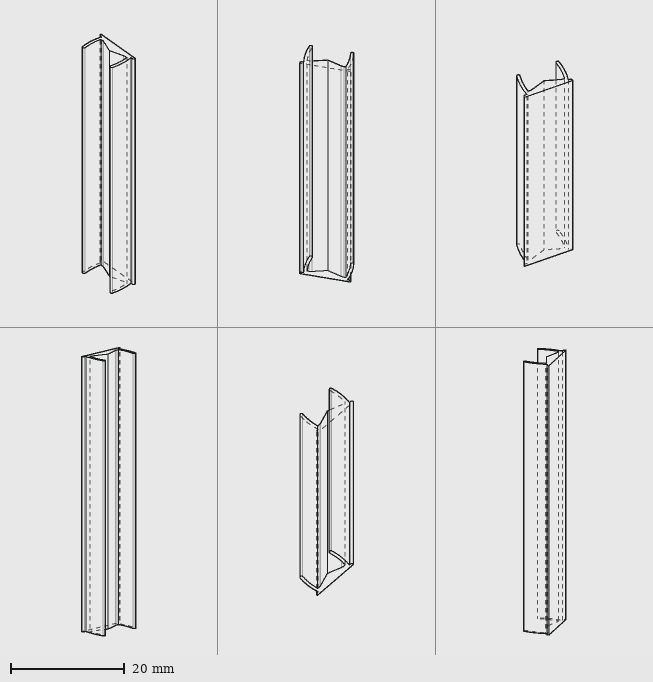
import cadquery as cq

length = 50.0
width = 9.25
depth = 5.0

plate_thickness = 0.45
plate_corner_radius = 0.3

web_depth = 1.0
ridge_depth = 2.0
ridge_half_width = 2.9
ridge_root_radius = 1.5

leg_thickness = 0.6
leg_end_x = 4.0
leg_bow = 0.25
leg_tip_radius = 0.25

back_y = depth / 2
tip_y = -depth / 2
plate_y = back_y - plate_thickness
web_y = back_y - web_depth
leg_mid_y = (plate_y + tip_y) / 2


def make_plate():
    """Flat cover plate with rounded front edges."""
    plate = cq.Workplane("XY").box(width, plate_thickness, length)
    plate = plate.translate((0, back_y - plate_thickness / 2, 0))
    return plate.edges("|Z and <Y").fillet(plate_corner_radius)


def make_web():
    """Web spanning the legs, with the ridge pointing between them."""
    inner_x = leg_end_x - leg_thickness / 2
    web = (
        cq.Workplane("XY")
        .workplane(offset=-length / 2)
        .moveTo(-inner_x, plate_y)
        .lineTo(-inner_x, web_y)
        .lineTo(-ridge_half_width, web_y)
        .lineTo(0, back_y - ridge_depth)
        .lineTo(ridge_half_width, web_y)
        .lineTo(inner_x, web_y)
        .lineTo(inner_x, plate_y)
        .close()
        .extrude(length)
    )
    margin = 0.05
    ridge_roots = cq.selectors.BoxSelector(
        (-ridge_half_width - margin, web_y - margin, -length),
        (ridge_half_width + margin, web_y + margin, length),
    )
    return web.edges("|Z").edges(ridge_roots).fillet(ridge_root_radius)


def make_leg(side):
    """Bowed leg on the +X (side=1) or -X (side=-1) half."""
    outer_x = side * leg_end_x
    outer_mid_x = side * (leg_end_x + leg_bow)
    inner_x = side * (leg_end_x - leg_thickness)
    inner_mid_x = side * (leg_end_x + leg_bow - leg_thickness)
    leg = (
        cq.Workplane("XY")
        .workplane(offset=-length / 2)
        .moveTo(outer_x, plate_y)
        .threePointArc((outer_mid_x, leg_mid_y), (outer_x, tip_y))
        .lineTo(inner_x, tip_y)
        .threePointArc((inner_mid_x, leg_mid_y), (inner_x, plate_y))
        .close()
        .extrude(length)
    )
    return leg.edges("|Z").edges("<Y").fillet(leg_tip_radius)


result = make_plate().union(make_web())
for leg_side in (-1, 1):
    result = result.union(make_leg(leg_side))